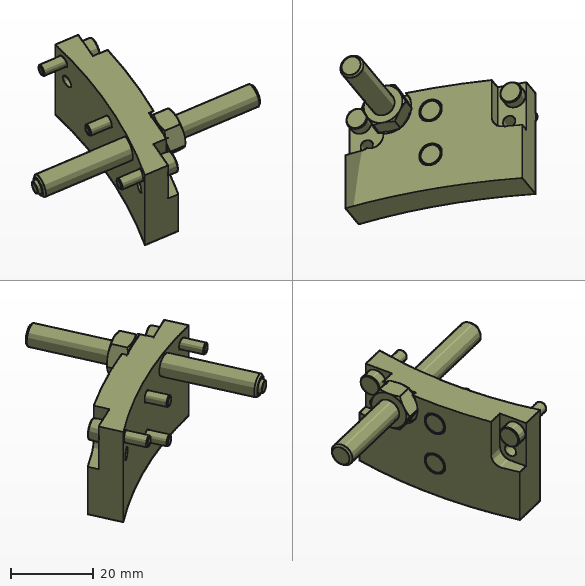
import cadquery as cq
import math

PLATE_WIDTH = 46.0
PLATE_HEIGHT = 27.5
CORNER_FRONT_Y = 0.0
CORNER_BACK_Y = 9.25
FRONT_RADIUS = 110.0
BACK_RADIUS = 119.0

SCREW_DIAMETER = 3.0
SCREW_LENGTH = 12.0
SCREW_TIP_CHAMFER = 0.3
HEAD_DIAMETER = 5.5
HEAD_HEIGHT = 3.0
HEAD_EDGE_CHAMFER = 0.2
CLEARANCE_DIAMETER = 3.2
COUNTERBORE_DIAMETER = 5.9

SIDE_SCREW_X = 20.0
SIDE_SCREW_Z = 23.9
MIDDLE_SCREW_HEIGHTS = (9.5, 21.5)
MIDDLE_SEAT_Y = 8.5

NOTCH_FLOOR_Y = 6.4
NOTCH_CORNER_RADIUS = 3.0
PLAIN_HOLE_X = 18.5
PLAIN_HOLE_Z = 17.5
NOTCH_INNER_X = PLAIN_HOLE_X - NOTCH_CORNER_RADIUS
NOTCH_BOTTOM_Z = PLAIN_HOLE_Z - NOTCH_CORNER_RADIUS
RELIEF_DIAMETER = 2 * NOTCH_CORNER_RADIUS

SCREW_PLACES = [(side * SIDE_SCREW_X, SIDE_SCREW_Z, NOTCH_FLOOR_Y) for side in (-1, 1)]
SCREW_PLACES += [(0, z, MIDDLE_SEAT_Y) for z in MIDDLE_SCREW_HEIGHTS]

SPINDLE_X = 11.0
SPINDLE_Z = 23.5
SPINDLE_DIAMETER = 6.0
SPINDLE_FRONT_Y = -23.0
SPINDLE_LENGTH = 60.0
SPINDLE_CHAMFER = 0.54
TIP_BASE_DIAMETER = 3.9
TIP_END_DIAMETER = 3.1
TIP_LENGTH = 1.0
TIP_CHAMFER = 0.1

NUT_ACROSS_FLATS = 10.0
NUT_THICKNESS = 5.0
NUT_CHAMFER_ANGLE = 30.0
SPOTFACE_DIAMETER = 12.0
SPOTFACE_FLOOR_Y = 10.0

CUT_THROUGH = 50.0


def cylinder_along_y(diameter, x, z, start_y, length):
    """Cylinder that starts at start_y and runs toward +Y."""
    axis_start = cq.Vector(x, start_y, z)
    solid = cq.Solid.makeCylinder(diameter / 2, length, axis_start, cq.Vector(0, 1, 0))
    return cq.Workplane(obj=solid)


def arc_rise(radius):
    """Height of an arc that spans the plate width."""
    return radius - math.sqrt(radius**2 - (PLATE_WIDTH / 2) ** 2)


def make_plate_blank():
    half_width = PLATE_WIDTH / 2
    front_middle = (0, CORNER_FRONT_Y + arc_rise(FRONT_RADIUS))
    back_middle = (0, CORNER_BACK_Y + arc_rise(BACK_RADIUS))
    return (
        cq.Workplane("XY")
        .moveTo(-half_width, CORNER_FRONT_Y)
        .threePointArc(front_middle, (half_width, CORNER_FRONT_Y))
        .lineTo(half_width, CORNER_BACK_Y)
        .threePointArc(back_middle, (-half_width, CORNER_BACK_Y))
        .close()
        .extrude(PLATE_HEIGHT)
    )


def make_notch(side):
    """Upper corner notch, open at the top, outside and back; side is -1 or +1."""
    width = PLATE_WIDTH / 2 - NOTCH_INNER_X
    height = PLATE_HEIGHT - NOTCH_BOTTOM_Z
    block = cq.Workplane("XY").box(width, CUT_THROUGH, height)
    inner_bottom_edge = "<Z and >X" if side < 0 else "<Z and <X"
    block = block.edges(inner_bottom_edge).fillet(NOTCH_CORNER_RADIUS)
    return block.translate(
        (
            side * (NOTCH_INNER_X + width / 2),
            NOTCH_FLOOR_Y + CUT_THROUGH / 2,
            NOTCH_BOTTOM_Z + height / 2,
        )
    )


def cut_through_hole(plate, diameter, x, z):
    return plate.cut(cylinder_along_y(diameter, x, z, -CUT_THROUGH / 2, CUT_THROUGH))


def make_plate():
    plate = make_plate_blank()
    for side in (-1, 1):
        plate = plate.cut(make_notch(side))
        plate = cut_through_hole(plate, CLEARANCE_DIAMETER, side * PLAIN_HOLE_X, PLAIN_HOLE_Z)
    relief = cylinder_along_y(RELIEF_DIAMETER, NOTCH_INNER_X, PLAIN_HOLE_Z, NOTCH_FLOOR_Y, CUT_THROUGH)
    plate = plate.cut(relief)
    for x, z, _ in SCREW_PLACES:
        plate = cut_through_hole(plate, CLEARANCE_DIAMETER, x, z)
    for z in MIDDLE_SCREW_HEIGHTS:
        plate = plate.cut(cylinder_along_y(COUNTERBORE_DIAMETER, 0, z, MIDDLE_SEAT_Y, CUT_THROUGH))
    plate = cut_through_hole(plate, SPINDLE_DIAMETER, SPINDLE_X, SPINDLE_Z)
    spotface = cylinder_along_y(SPOTFACE_DIAMETER, SPINDLE_X, SPINDLE_Z, SPOTFACE_FLOOR_Y, CUT_THROUGH)
    return plate.cut(spotface)


def make_screw(x, z, seat_y):
    """Screw pointing toward -Y with the underside of its head at seat_y."""
    head = cylinder_along_y(HEAD_DIAMETER, x, z, seat_y, HEAD_HEIGHT)
    head = head.faces(">Y").edges().chamfer(HEAD_EDGE_CHAMFER)
    shank = cylinder_along_y(SCREW_DIAMETER, x, z, seat_y - SCREW_LENGTH, SCREW_LENGTH)
    shank = shank.faces("<Y").edges().chamfer(SCREW_TIP_CHAMFER)
    return head.union(shank)


def make_spindle():
    """Chamfered rod with a short tapered tip on its front end."""
    rod = cylinder_along_y(SPINDLE_DIAMETER, SPINDLE_X, SPINDLE_Z, SPINDLE_FRONT_Y, SPINDLE_LENGTH)
    rod = rod.faces("<Y or >Y").edges().chamfer(SPINDLE_CHAMFER)
    cone = cq.Solid.makeCone(
        TIP_BASE_DIAMETER / 2,
        TIP_END_DIAMETER / 2,
        TIP_LENGTH,
        cq.Vector(SPINDLE_X, SPINDLE_FRONT_Y, SPINDLE_Z),
        cq.Vector(0, -1, 0),
    )
    tip = cq.Workplane(obj=cone).faces("<Y").edges().chamfer(TIP_CHAMFER)
    return rod.union(tip)


def make_nut():
    """Hex nut with flats up and down, its corners chamfered at both ends."""
    corner_radius = NUT_ACROSS_FLATS / math.sqrt(3)
    flat_radius = NUT_ACROSS_FLATS / 2
    chamfer_drop = (corner_radius - flat_radius) * math.tan(math.radians(NUT_CHAMFER_ANGLE))
    hexagon = cq.Workplane("XY").polygon(6, 2 * corner_radius).extrude(NUT_THICKNESS)
    chamfered_disc = (
        cq.Workplane("XY")
        .circle(corner_radius)
        .extrude(NUT_THICKNESS)
        .faces("<Z or >Z")
        .edges()
        .chamfer(chamfer_drop, corner_radius - flat_radius)
    )
    nut = hexagon.intersect(chamfered_disc)
    nut = nut.rotate((0, 0, 0), (1, 0, 0), -90).translate((SPINDLE_X, SPOTFACE_FLOOR_Y, SPINDLE_Z))
    thread_hole = cylinder_along_y(
        SPINDLE_DIAMETER, SPINDLE_X, SPINDLE_Z, SPOTFACE_FLOOR_Y, NUT_THICKNESS
    )
    return nut.cut(thread_hole)


plate = make_plate()
screws = [make_screw(x, z, seat_y) for x, z, seat_y in SCREW_PLACES]
spindle = make_spindle()
nut = make_nut()

result = cq.Compound.makeCompound(
    [plate.val(), *[screw.val() for screw in screws], spindle.val(), nut.val()]
)